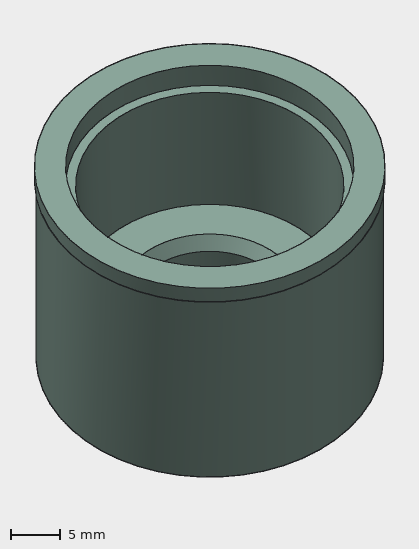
import cadquery as cq

collar_diameter = 35.3
body_diameter = 35.0
height = 26.7
collar_height = 1.9
taper_height = 0.2

recess_diameter = 29.0
recess_depth = 2.82
bore_diameter = 27.0
bore_depth = 18.57

hole_diameter = 16.0
countersink_diameter = 18.45
countersink_depth = (countersink_diameter - hole_diameter) / 2

collar_bottom = height - collar_height
body_top = collar_bottom - taper_height
recess_floor = height - recess_depth
bore_floor = height - bore_depth
countersink_bottom = bore_floor - countersink_depth

half_section = [
    (hole_diameter / 2, 0),
    (body_diameter / 2, 0),
    (body_diameter / 2, body_top),
    (collar_diameter / 2, collar_bottom),
    (collar_diameter / 2, height),
    (recess_diameter / 2, height),
    (recess_diameter / 2, recess_floor),
    (bore_diameter / 2, recess_floor),
    (bore_diameter / 2, bore_floor),
    (countersink_diameter / 2, bore_floor),
    (hole_diameter / 2, countersink_bottom),
]

result = (
    cq.Workplane("XZ")
    .polyline(half_section)
    .close()
    .revolve(360, (0, 0, 0), (0, 1, 0))
)